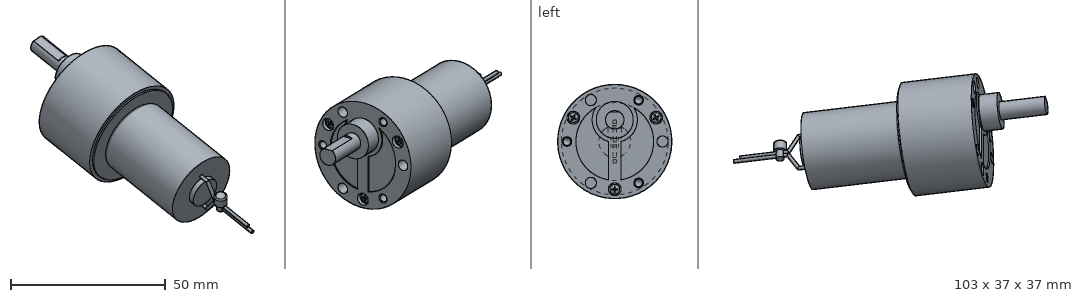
import cadquery as cq
import math


overall_length = 103.0

gearbox_dia = 37.0
gearbox_length = 24.2
rear_plate_dia = 34.5
rear_plate_length = 0.6

shaft_height = 7.0
boss_dia = 12.0
boss_length = 6.0
shaft_dia = 6.0
shaft_reach = 21.0
flat_length = 12.0
flat_depth = 0.5

pocket_dia = 25.1
pocket_depth = 0.5
island_dia = 14.6
island_stem_width = 4.0

bolt_circle_radius = 15.5
plain_hole_dia = 3.6
plain_hole_depth = 5.2
plain_hole_angles = (0, 120, 240)
tapped_hole_dia = 2.5
tapped_hole_mouth_dia = 3.1
tapped_hole_depth = 5.2
drill_point_angle = 118
tapped_hole_angles = (60, 180, 300)
screw_recess_dia = 4.1
screw_recess_depth = 1.5
screw_head_dia = 3.2
screw_head_tip_dia = 0.8
screw_head_height = 0.5
cross_length = 2.1
cross_width = 0.3
screw_angles = (30, 150, 270)

motor_dia = 25.1
motor_front = gearbox_length + rear_plate_length
motor_rear = 57.4
motor_front_fillet = 0.9
rear_hub_dia = 10.3
rear_hub_length = 1.9

wire_dia = 1.2
wire_root_height = 6.4
wire_run_height = 0.59
wire_outer_bend = 60.6
wire_inner_bend = 64.1
upper_wire_end = 79.9
lower_wire_end = overall_length - shaft_reach

post_x = 66.8
post_dia = 2.6
post_bottom = -1.8
post_head_dia = 4.2
post_head_bottom = 1.1
post_head_top = 4.6
post_head_chamfer_width = 0.5
post_head_chamfer_height = 0.4


def cylinder_along_x(diameter, start, length, y=0.0, z=0.0):
    return cq.Workplane("XY").add(
        cq.Solid.makeCylinder(diameter / 2, length, cq.Vector(start, y, z), cq.Vector(1, 0, 0))
    )


def cone_along_x(start_dia, end_dia, start, length, y, z):
    return cq.Workplane("XY").add(
        cq.Solid.makeCone(start_dia / 2, end_dia / 2, length, cq.Vector(start, y, z), cq.Vector(1, 0, 0))
    )


def bolt_position(angle):
    """Y and Z on the bolt circle; the angle turns from -Y toward +Z."""
    turn = math.radians(angle)
    return -bolt_circle_radius * math.cos(turn), bolt_circle_radius * math.sin(turn)


def output_shaft():
    boss = cylinder_along_x(boss_dia, -boss_length, boss_length, z=shaft_height)
    shaft = cylinder_along_x(shaft_dia, -shaft_reach, shaft_reach, z=shaft_height)
    flat_height = shaft_height + shaft_dia / 2 - flat_depth
    flat_cut = cq.Workplane("XY").box(flat_length, shaft_dia, shaft_dia, centered=(False, True, False))
    return boss.union(shaft.cut(flat_cut.translate((-shaft_reach, 0, flat_height))))


def face_pocket():
    disc = cylinder_along_x(pocket_dia, 0, pocket_depth)
    island = cylinder_along_x(island_dia, 0, pocket_depth, z=shaft_height)
    stem = cq.Workplane("XY").box(
        pocket_depth, island_stem_width, shaft_height + pocket_dia, centered=(False, True, False)
    )
    return disc.cut(island).cut(stem.translate((0, 0, -pocket_dia)))


def tapped_hole(y, z):
    mouth_depth = (tapped_hole_mouth_dia - tapped_hole_dia) / 2
    point_depth = tapped_hole_dia / 2 / math.tan(math.radians(drill_point_angle / 2))
    hole = cylinder_along_x(tapped_hole_dia, 0, tapped_hole_depth, y, z)
    mouth = cone_along_x(tapped_hole_mouth_dia, tapped_hole_dia, 0, mouth_depth, y, z)
    point = cone_along_x(tapped_hole_dia, 0, tapped_hole_depth, point_depth, y, z)
    return hole.union(mouth).union(point)


def screw_head(angle):
    y, z = bolt_position(angle)
    head_start = screw_recess_depth - screw_head_height
    head = cone_along_x(screw_head_tip_dia, screw_head_dia, head_start, screw_head_height, y, z)
    bar = cq.Workplane("XY").box(
        screw_head_height, cross_length, cross_width, centered=(False, True, True)
    )
    cross = bar.union(bar.rotate((0, 0, 0), (1, 0, 0), 90))
    cross = cross.rotate((0, 0, 0), (1, 0, 0), -angle).translate((head_start, y, z))
    return head.cut(cross)


def make_gearbox():
    gearbox = cylinder_along_x(gearbox_dia, 0, gearbox_length)
    gearbox = gearbox.union(cylinder_along_x(rear_plate_dia, gearbox_length, rear_plate_length))
    gearbox = gearbox.cut(face_pocket()).union(output_shaft())
    for angle in plain_hole_angles:
        gearbox = gearbox.cut(cylinder_along_x(plain_hole_dia, 0, plain_hole_depth, *bolt_position(angle)))
    for angle in tapped_hole_angles:
        gearbox = gearbox.cut(tapped_hole(*bolt_position(angle)))
    for angle in screw_angles:
        recess = cylinder_along_x(screw_recess_dia, 0, screw_recess_depth, *bolt_position(angle))
        gearbox = gearbox.cut(recess).union(screw_head(angle))
    return gearbox


def lead_wire(side, end):
    """One wire bent twice; side is +1 above the motor axis and -1 below it."""
    path = cq.Workplane("XZ").polyline([
        (motor_rear, side * wire_root_height),
        (wire_outer_bend, side * wire_root_height),
        (wire_inner_bend, side * wire_run_height),
        (end, side * wire_run_height),
    ])
    section = cq.Workplane("YZ", origin=(motor_rear, 0, side * wire_root_height)).circle(wire_dia / 2)
    return section.sweep(path, transition="right")


def tie_post():
    half_profile = [
        (0, post_bottom),
        (post_dia / 2, post_bottom),
        (post_dia / 2, post_head_bottom),
        (post_head_dia / 2, post_head_bottom),
        (post_head_dia / 2, post_head_top - post_head_chamfer_height),
        (post_head_dia / 2 - post_head_chamfer_width, post_head_top),
        (0, post_head_top),
    ]
    post = cq.Workplane("XZ").polyline(half_profile).close().revolve(360, (0, 0), (0, 1))
    return post.translate((post_x, 0, 0))


def make_motor():
    motor = cylinder_along_x(motor_dia, motor_front, motor_rear - motor_front)
    motor = motor.faces("<X").edges().fillet(motor_front_fillet)
    motor = motor.union(cylinder_along_x(rear_hub_dia, motor_rear, rear_hub_length))
    wires = lead_wire(1, upper_wire_end).union(lead_wire(-1, lower_wire_end))
    return motor.union(wires).union(tie_post())


gearbox = make_gearbox()
motor = make_motor()

result = cq.Compound.makeCompound([gearbox.val(), motor.val()])